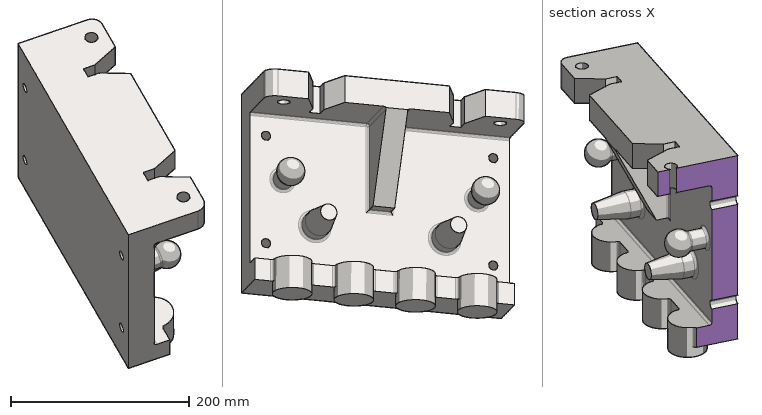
import cadquery as cq
import math

width = 304.8
depth = 97.79
body_height = 234.95
wall = 31.75
ledge_height = 25.4
ledge_depth = 50.8
fillet_radius = 3.175
flange_corner_radius = 12.7

notch_x = 82.55
notch_width = 12.7
notch_floor_y = depth - 45.72
notch_flare_angle = 25.0
notch_flare_y = depth - 31.75

flange_hole_diameter = 14.29
flange_hole_x = 127.0
flange_hole_y = depth - 19.05
mount_hole_diameter = 10.54
mount_hole_x = 133.35
mount_hole_z = (-57.15, -184.15)

rib_thickness = 25.4
rib_bottom_z = -133.35
rib_toe_depth = 15.875
rib_slope = 2

ball_diameter = 31.75
ball_neck_diameter = 22.86
ball_x = 114.3
ball_y = 64.0
ball_z = -107.95

peg_diameter = 31.75
peg_tip_diameter = 19.05
peg_straight_length = 15.875
peg_taper_length = 37.465
peg_x = 76.2
peg_z = -158.75

boss_diameter = 44.45
boss_count = 4
boss_pitch = 72.39
boss_y = ledge_depth
boss_drop = 12.7

SIDES = (-1, 1)
selection_margin = 0.5


def body():
    """C-shaped section extruded over the full width, with rounded flange corners."""
    section = [
        (0, 0),
        (depth, 0),
        (depth, -wall),
        (wall, -wall),
        (wall, ledge_height - body_height),
        (ledge_depth, ledge_height - body_height),
        (ledge_depth, -body_height),
        (0, -body_height),
    ]
    block = cq.Workplane("YZ").polyline(section).close().extrude(width / 2, both=True)
    corners = block.faces(">Y").edges("|Z")
    return corners.fillet(flange_corner_radius)


def rib_blank():
    """Central rib before its rear edge is sloped, as deep as the flange."""
    blank = cq.Workplane("XY").box(rib_thickness, depth, -rib_bottom_z, centered=(True, False, False))
    return blank.translate((0, 0, rib_bottom_z))


def rib_slope_cut():
    """Wedge that leaves the rib's rear edge sloping from the flange down to its toe."""
    toe_y = wall + rib_toe_depth
    slope_top_z = rib_bottom_z + (depth - toe_y) * rib_slope
    wedge = [(toe_y, rib_bottom_z), (depth, rib_bottom_z), (depth, slope_top_z)]
    return cq.Workplane("YZ").polyline(wedge).close().extrude(rib_thickness, both=True)


def peg(x):
    """Straight shank followed by a taper, standing on the back plate."""
    radius = peg_diameter / 2
    taper_start = wall + peg_straight_length
    tip = taper_start + peg_taper_length
    profile = [
        (0, wall / 2),
        (radius, wall / 2),
        (radius, taper_start),
        (peg_tip_diameter / 2, tip),
        (0, tip),
    ]
    solid = cq.Workplane("XY").polyline(profile).close().revolve(360, (0, 0), (0, 1))
    return solid.translate((x, 0, peg_z))


def ball_stud(x):
    """Ball on a cylindrical neck, with a fillet where neck and ball meet."""
    neck_start = wall / 2
    neck = (
        cq.Workplane("XZ", origin=(0, neck_start, 0))
        .circle(ball_neck_diameter / 2)
        .extrude(neck_start - ball_y)
    )
    ball = cq.Workplane("XY").sphere(ball_diameter / 2).translate((0, ball_y, 0))
    joint = cq.selectors.BoxSelector(
        (-ball_diameter, wall, -ball_diameter),
        (ball_diameter, ball_y - selection_margin, ball_diameter),
    )
    stud = neck.union(ball).edges("%CIRCLE").edges(joint).fillet(fillet_radius)
    return stud.translate((x, 0, ball_z))


def boss_row(bottom_z, height):
    """Row of vertical boss cylinders starting at the given level."""
    return (
        cq.Workplane("XY", origin=(0, boss_y, bottom_z))
        .rarray(boss_pitch, 1, boss_count, 1)
        .circle(boss_diameter / 2)
        .extrude(height)
    )


def flange_notch(x):
    """Parallel slot that flares out to the rear edge of the flange."""
    half_slot = notch_width / 2
    half_mouth = half_slot + (depth - notch_flare_y) * math.tan(math.radians(notch_flare_angle))
    outline = [
        (x - half_slot, notch_floor_y),
        (x - half_slot, notch_flare_y),
        (x - half_mouth, depth),
        (x + half_mouth, depth),
        (x + half_slot, notch_flare_y),
        (x + half_slot, notch_floor_y),
    ]
    return cq.Workplane("XY").polyline(outline).close().extrude(-wall)


def flange_holes():
    """Vertical holes through the outer ends of the flange."""
    places = [(side * flange_hole_x, flange_hole_y) for side in SIDES]
    return cq.Workplane("XY").pushPoints(places).circle(flange_hole_diameter / 2).extrude(-wall)


def mount_holes():
    """Holes through the back plate."""
    places = [(side * mount_hole_x, z) for side in SIDES for z in mount_hole_z]
    return cq.Workplane("XZ").pushPoints(places).circle(mount_hole_diameter / 2).extrude(-wall)


def round_inner_corners(part):
    """Fillet every foot on the plate's rear face and the rib's junction with the flange."""
    inner_x = width / 2 - selection_margin
    plate_feet = cq.selectors.BoxSelector(
        (-inner_x, wall - selection_margin, -body_height),
        (inner_x, wall + selection_margin, selection_margin - wall),
    )
    rib_top = cq.selectors.BoxSelector(
        (-rib_thickness, wall, -wall - selection_margin),
        (rib_thickness, depth - selection_margin, selection_margin - wall),
    )
    return part.edges(plate_feet + rib_top).fillet(fillet_radius)


def round_boss_junctions(part):
    """Fillet the vertical corners between the bosses and the front of the ledge."""
    inner_x = width / 2 - selection_margin
    ledge_front = cq.selectors.BoxSelector(
        (-inner_x, ledge_depth - selection_margin, -body_height),
        (inner_x, ledge_depth + selection_margin, ledge_height - body_height),
    )
    return part.edges("|Z").edges(ledge_front).fillet(fillet_radius)


result = body().union(rib_blank())
for side in SIDES:
    result = result.union(peg(side * peg_x)).union(ball_stud(side * ball_x))
result = round_inner_corners(result).cut(rib_slope_cut())

result = result.union(boss_row(-body_height, ledge_height))
result = round_boss_junctions(result)
result = result.union(boss_row(-body_height - boss_drop, boss_drop))

for side in SIDES:
    result = result.cut(flange_notch(side * notch_x))
result = result.cut(flange_holes()).cut(mount_holes())